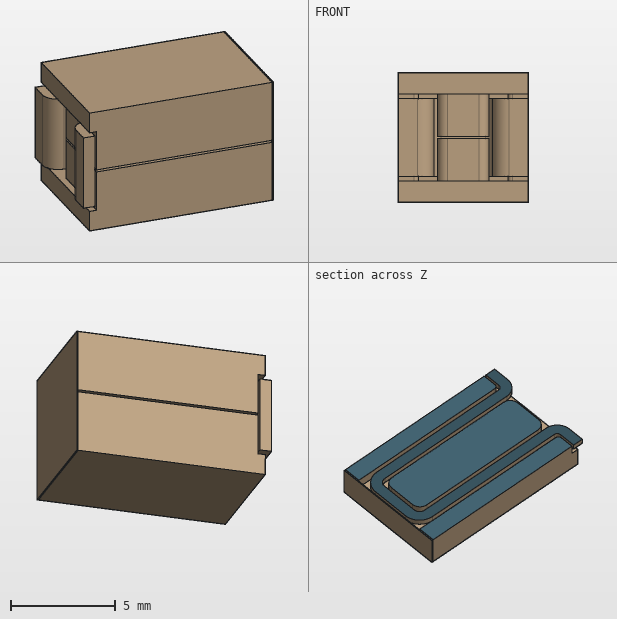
import cadquery as cq


width = 6.21
height = 6.2
length = 9.77

plate_thickness = 0.07

core_front_y = 0.31
core_rear_y = length - plate_thickness
core_gap = 0.11
slab_thickness = 1.04
leg_front_y = 0.67
leg_width = 0.97
leg_corner_radius = 0.21
post_width = 2.46
post_corner_radius = 0.49
core_height = (height - core_gap) / 2
leg_height = core_height - slab_thickness

strip_thickness = 0.59
strip_height = 3.7
post_clearance = 0.16
rear_clearance = 0.1
terminal_bend_radius = 0.21
rear_bend_radius = 0.33
strip_inner_x = post_width / 2 + post_clearance
strip_rear_y = core_rear_y - rear_clearance
post_rear_y = strip_rear_y - strip_thickness - post_clearance


def box(x_size, y_start, y_end, z_start, z_size):
    """Block centred on X."""
    return (
        cq.Workplane("XY")
        .box(x_size, y_end - y_start, z_size, centered=(True, False, False))
        .translate((0, y_start, z_start))
    )


def make_core(turn_angle):
    """E-core with its post pointing down, then turned about the Y axis."""
    leg_bottom_z = core_gap / 2
    slab = box(width, core_front_y, core_rear_y, leg_bottom_z + leg_height, slab_thickness)

    legs = box(width, leg_front_y, core_rear_y, leg_bottom_z, leg_height)
    window_width = width - 2 * leg_width
    window = box(window_width, leg_front_y, core_rear_y, leg_bottom_z, leg_height)
    legs = legs.cut(window)
    inner_front_corners = cq.selectors.BoxSelector(
        (-window_width / 2 - leg_corner_radius, leg_front_y - leg_corner_radius, 0),
        (window_width / 2 + leg_corner_radius, leg_front_y + leg_corner_radius, height),
    )
    legs = legs.edges("|Z").edges(inner_front_corners).fillet(leg_corner_radius)

    post = box(post_width, leg_front_y, post_rear_y, leg_bottom_z, leg_height)
    post = post.edges("|Z").fillet(post_corner_radius)
    core = slab.union(legs).union(post)
    return core.rotate((0, 0, 0), (0, 1, 0), turn_angle)


def make_conductor():
    """Constant-thickness strip: a U around the post with both ends bent outward."""
    middle_offset = strip_thickness / 2
    leg_x = strip_inner_x + middle_offset
    terminal_y = middle_offset
    rear_y = strip_rear_y - middle_offset
    terminal_radius = terminal_bend_radius + middle_offset
    rear_radius = rear_bend_radius + middle_offset
    terminal_bend_x = leg_x + terminal_radius
    terminal_bend_y = terminal_y + terminal_radius
    rear_bend_x = leg_x - rear_radius
    rear_bend_y = rear_y - rear_radius

    center_line = (
        cq.Workplane("XY")
        .moveTo(-width / 2, terminal_y)
        .lineTo(-terminal_bend_x, terminal_y)
        .tangentArcPoint((-leg_x, terminal_bend_y), relative=False)
        .lineTo(-leg_x, rear_bend_y)
        .tangentArcPoint((-rear_bend_x, rear_y), relative=False)
        .lineTo(rear_bend_x, rear_y)
        .tangentArcPoint((leg_x, rear_bend_y), relative=False)
        .lineTo(leg_x, terminal_bend_y)
        .tangentArcPoint((terminal_bend_x, terminal_y), relative=False)
        .lineTo(width / 2, terminal_y)
    )
    strip_section = cq.Workplane("YZ", origin=(-width / 2, terminal_y, 0)).rect(strip_thickness, strip_height)
    return strip_section.sweep(center_line)


core_turn_angles = [0, 180]
cores = [make_core(turn_angle) for turn_angle in core_turn_angles]
conductor = make_conductor()
rear_plate = box(width, core_rear_y, length, -height / 2, height)

result = cq.Compound.makeCompound(
    [*[core.val() for core in cores], conductor.val(), rear_plate.val()]
)